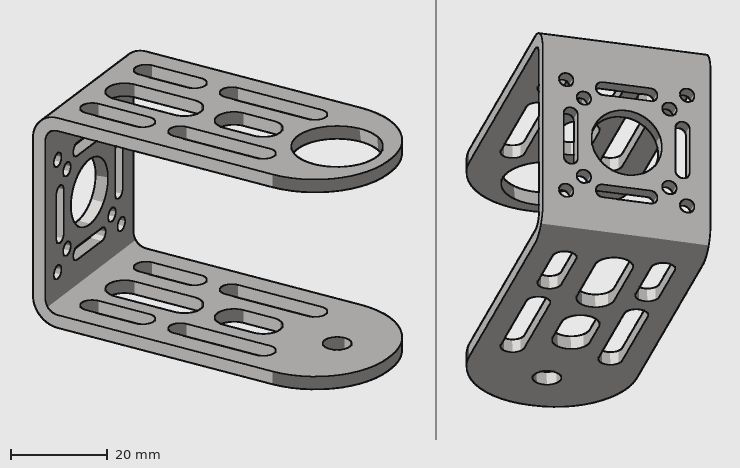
import cadquery as cq
import math

length = 75.0
width = 36.0
height = 48.5
thickness = 3.0
outer_bend_radius = 2 * thickness
inner_bend_radius = outer_bend_radius - thickness
arm_end_radius = 17.5

pivot_x = 62.5
upper_pivot_diameter = 19.0
lower_pivot_diameter = 6.0

outer_slot_width = 5.0
outer_slot_y = 10.5
middle_slot_width = 7.95
middle_slot_y = -0.45
arm_slots = [
    (7.9, 24.6, outer_slot_y, outer_slot_width),
    (7.35, 24.6, -outer_slot_y, outer_slot_width),
    (28.5, 53.55, outer_slot_y, outer_slot_width),
    (28.5, 53.55, -outer_slot_y, outer_slot_width),
    (7.7, 30.0, middle_slot_y, middle_slot_width),
    (34.0, 49.05, middle_slot_y, middle_slot_width),
]

mount_z = -1.3
mount_bore_diameter = 15.1
screw_diameter = 3.1
corner_screw_offset = 13.0
inner_screw_offset = corner_screw_offset / math.sqrt(2)
mount_slot_offset = 12.0
mount_slot_length = 13.2
mount_slot_width = 3.0


def bent_sheet():
    """U-shaped sheet, open toward +X, with rounded bends."""
    outside = (
        cq.Workplane("XY")
        .box(length, width, height, centered=(False, True, True))
        .edges("|Y and <X")
        .fillet(outer_bend_radius)
    )
    inside = (
        cq.Workplane("XY")
        .box(length, width, height - 2 * thickness, centered=(False, True, True))
        .edges("|Y and <X")
        .fillet(inner_bend_radius)
        .translate((thickness, 0, 0))
    )
    return outside.cut(inside)


def arm_slot_cutter(start_x, end_x, centre_y, slot_width):
    """Round-ended slot along X, passing through both arms."""
    return (
        cq.Workplane("XY")
        .workplane(offset=-height / 2)
        .center((start_x + end_x) / 2, centre_y)
        .slot2D(end_x - start_x, slot_width)
        .extrude(height)
    )


def pivot_cutters():
    """Large hole for the upper arm and small hole for the lower arm."""
    axis = cq.Workplane("XY", origin=(pivot_x, 0, 0))
    upper = axis.circle(upper_pivot_diameter / 2).extrude(height / 2)
    lower = axis.circle(lower_pivot_diameter / 2).extrude(-height / 2)
    return upper.union(lower)


def square_corners(offset):
    """Four points at the corners of a square centred on the origin."""
    return [(y, z) for y in (-offset, offset) for z in (-offset, offset)]


def mount_plane():
    """Sketch plane on the outer face of the back plate, at the pattern centre."""
    return cq.Workplane("YZ", origin=(0, 0, mount_z))


def mount_cutter():
    """Bore, screw holes and slots through the back plate."""
    screw_points = square_corners(corner_screw_offset) + square_corners(inner_screw_offset)
    cutter = mount_plane().circle(mount_bore_diameter / 2).extrude(thickness)
    cutter = cutter.union(mount_plane().pushPoints(screw_points).circle(screw_diameter / 2).extrude(thickness))
    for side in (-mount_slot_offset, mount_slot_offset):
        level_slot = mount_plane().center(0, side).slot2D(mount_slot_length, mount_slot_width)
        upright_slot = mount_plane().center(side, 0).slot2D(mount_slot_length, mount_slot_width, 90)
        cutter = cutter.union(level_slot.extrude(thickness))
        cutter = cutter.union(upright_slot.extrude(thickness))
    return cutter


result = bent_sheet().edges("|Z and >X").fillet(arm_end_radius)
for slot in arm_slots:
    result = result.cut(arm_slot_cutter(*slot))
result = result.cut(pivot_cutters()).cut(mount_cutter())